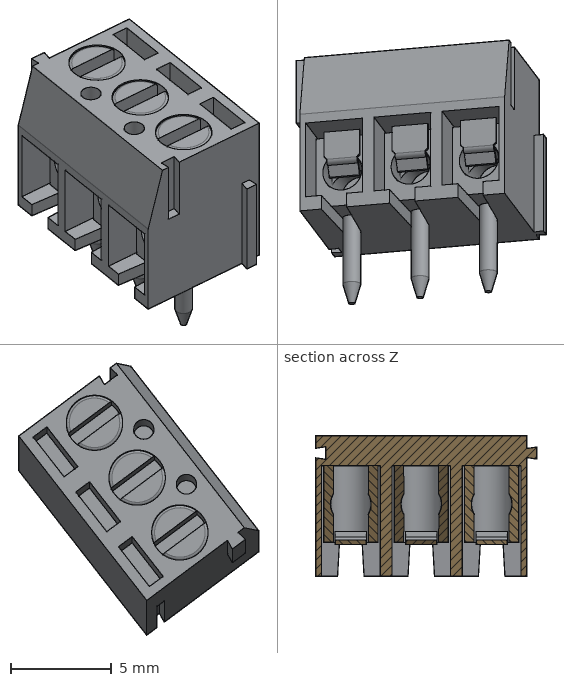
import cadquery as cq
import math


POLE_COUNT = 3
PITCH = 3.5
POLE_Y = 0.1
POLE_XS = [(i - (POLE_COUNT - 1) / 2) * PITCH for i in range(POLE_COUNT)]

WIDTH = POLE_COUNT * PITCH
DEPTH = 7.0
FRONT_Y = -DEPTH / 2
BACK_Y = DEPTH / 2
OVERALL_HEIGHT = 12.2
PIN_REACH = 3.8
HEIGHT = OVERALL_HEIGHT - PIN_REACH
SLOPE_DEPTH = 0.9
SLOPE_HEIGHT = 3.31
SLOPE_FOOT_Z = HEIGHT - SLOPE_HEIGHT

DOVETAIL_REACH = 0.5
DOVETAIL_FLARE = 0.07
UPPER_DOVETAIL_Y = -1.88
UPPER_DOVETAIL_WIDTH = 0.67
LOWER_DOVETAIL_Y = 2.64
LOWER_DOVETAIL_WIDTH = 0.46

CHAMBER_WIDTH = 2.9
CHAMBER_FLOOR_Z = 0.72
CHAMBER_TOP_Z = 4.61
CLAMP_SETBACK = 1.7
CLAMP_FRONT_Y = FRONT_Y + CLAMP_SETBACK

CLAMP_WIDTH = 2.71
CLAMP_TOP_Z = 4.34
CLAMP_DEPTH = 2 * (POLE_Y - CLAMP_FRONT_Y)
CLAMP_BACK_Y = CLAMP_FRONT_Y + CLAMP_DEPTH
WIRE_HOLE_DIAMETER = 2.0
WIRE_HOLE_Z = 2.54
WIRE_HOLE_TOP_Z = WIRE_HOLE_Z + WIRE_HOLE_DIAMETER / 2
PIN_DIAMETER = 0.9
PIN_TIP_DIAMETER = 0.32
PIN_TIP_LENGTH = 1.0

PIN_SLOT_FRONT_WIDTH = 1.3

HEAD_DIAMETER = 2.8
HEAD_HEIGHT = 1.5
HEAD_ROUNDING = 0.15
HEAD_BOTTOM_Z = HEIGHT - HEAD_HEIGHT
SHANK_DIAMETER = 2.0
DRIVE_SLOT_WIDTH = 0.73
DRIVE_SLOT_DEPTH = 1.0

TEST_HOLE_DIAMETER = 1.0
TEST_HOLE_DEPTH = 1.5
TEST_HOLE_Y = -1.65
POCKET_WIDTH = 2.54
POCKET_LENGTH = 0.85
POCKET_DEPTH = 1.5
POCKET_Y = 2.54

GUARD_WIDTH = 1.82
GUARD_THICKNESS = 0.15
GUARD_BOTTOM_Z = 3.17
GUARD_CORNER = 0.15
TONGUE_WIDTH = 1.55
BEND_RADIUS = 0.25
TONGUE_TIP_Z = 2.4
TONGUE_ANGLE = 28


def block(x_size, y_range, z_range, x=0):
    """Box centred on x that fills the given Y and Z ranges."""
    y_size = y_range[1] - y_range[0]
    z_size = z_range[1] - z_range[0]
    box = cq.Workplane().box(x_size, y_size, z_size, centered=(True, False, False))
    return box.translate((x, y_range[0], z_range[0]))


def cylinder(diameter, x, y, bottom_z, top_z):
    """Upright cylinder."""
    return cq.Workplane(origin=(x, y, bottom_z)).circle(diameter / 2).extrude(top_z - bottom_z)


def dovetail(base_x, y, narrow_width, bottom_z, top_z):
    """Upright dovetail bar that starts narrow at base_x and widens toward -X."""
    narrow = narrow_width / 2
    wide = narrow + DOVETAIL_FLARE
    end_x = base_x - DOVETAIL_REACH
    return (
        cq.Workplane()
        .workplane(offset=bottom_z)
        .polyline([(base_x, y - narrow), (end_x, y - wide), (end_x, y + wide), (base_x, y + narrow)])
        .close()
        .extrude(top_z - bottom_z)
    )


def lower_dovetail(base_x):
    """Rib or groove below the slope foot, widening toward +X."""
    return dovetail(-base_x, LOWER_DOVETAIL_Y, LOWER_DOVETAIL_WIDTH, 0, SLOPE_FOOT_Z).mirror("YZ")


def upper_dovetail(base_x):
    """Rib or groove above the slope foot, widening toward -X."""
    return dovetail(base_x, UPPER_DOVETAIL_Y, UPPER_DOVETAIL_WIDTH, SLOPE_FOOT_Z, HEIGHT)


def pin_slot(x):
    """Tapered slot in the chamber floor with a round end that fits the pin."""
    half_front = PIN_SLOT_FRONT_WIDTH / 2
    pin_radius = PIN_DIAMETER / 2
    return (
        cq.Workplane()
        .moveTo(x - half_front, FRONT_Y)
        .lineTo(x - pin_radius, POLE_Y)
        .threePointArc((x, POLE_Y + pin_radius), (x + pin_radius, POLE_Y))
        .lineTo(x + half_front, FRONT_Y)
        .close()
        .extrude(CHAMBER_FLOOR_Z)
    )


def make_housing():
    """Housing with a sloped front, dovetails, wire chambers and openings in the top."""
    side_profile = [
        (FRONT_Y, 0),
        (BACK_Y, 0),
        (BACK_Y, HEIGHT),
        (FRONT_Y + SLOPE_DEPTH, HEIGHT),
        (FRONT_Y, SLOPE_FOOT_Z),
    ]
    housing = cq.Workplane("YZ").polyline(side_profile).close().extrude(WIDTH / 2, both=True)

    housing = housing.union(upper_dovetail(-WIDTH / 2)).cut(upper_dovetail(WIDTH / 2))
    housing = housing.union(lower_dovetail(WIDTH / 2)).cut(lower_dovetail(-WIDTH / 2))

    pocket_y_range = (POCKET_Y - POCKET_LENGTH / 2, POCKET_Y + POCKET_LENGTH / 2)
    for x in POLE_XS:
        housing = housing.cut(
            block(CHAMBER_WIDTH, (FRONT_Y, CLAMP_BACK_Y), (CHAMBER_FLOOR_Z, CHAMBER_TOP_Z), x)
        )
        housing = housing.cut(pin_slot(x))
        housing = housing.cut(cylinder(HEAD_DIAMETER, x, POLE_Y, HEAD_BOTTOM_Z, HEIGHT))
        housing = housing.cut(cylinder(SHANK_DIAMETER, x, POLE_Y, CHAMBER_TOP_Z, HEAD_BOTTOM_Z))
        housing = housing.cut(block(POCKET_WIDTH, pocket_y_range, (HEIGHT - POCKET_DEPTH, HEIGHT), x))

    for x in POLE_XS[:-1]:
        housing = housing.cut(
            cylinder(TEST_HOLE_DIAMETER, x + PITCH / 2, TEST_HOLE_Y, HEIGHT - TEST_HOLE_DEPTH, HEIGHT)
        )
    return housing


def make_clamp(x):
    """Clamp block with a wire hole, a screw hole and a pointed solder pin."""
    clamp = block(CLAMP_WIDTH, (CLAMP_FRONT_Y, CLAMP_BACK_Y), (CHAMBER_FLOOR_Z, CLAMP_TOP_Z), x)
    wire_hole = (
        cq.Workplane("XZ", origin=(x, CLAMP_BACK_Y, WIRE_HOLE_Z))
        .circle(WIRE_HOLE_DIAMETER / 2)
        .extrude(CLAMP_DEPTH)
    )
    screw_hole = cylinder(SHANK_DIAMETER, x, POLE_Y, WIRE_HOLE_Z, CLAMP_TOP_Z)
    pin_profile = [
        (0, CHAMBER_FLOOR_Z),
        (PIN_DIAMETER / 2, CHAMBER_FLOOR_Z),
        (PIN_DIAMETER / 2, PIN_TIP_LENGTH - PIN_REACH),
        (PIN_TIP_DIAMETER / 2, -PIN_REACH),
        (0, -PIN_REACH),
    ]
    pin = (
        cq.Workplane("XZ", origin=(x, POLE_Y, 0))
        .polyline(pin_profile)
        .close()
        .revolve(360, (0, 0), (0, 1))
    )
    return clamp.cut(wire_hole).cut(screw_hole).union(pin)


def make_screw(x):
    """Slotted screw, its head flush with the housing top."""
    head = cylinder(HEAD_DIAMETER, x, POLE_Y, HEAD_BOTTOM_Z, HEIGHT)
    head = head.faces(">Z").edges().fillet(HEAD_ROUNDING)
    shank = cylinder(SHANK_DIAMETER, x, POLE_Y, WIRE_HOLE_TOP_Z, HEAD_BOTTOM_Z)
    slot_y_range = (POLE_Y - HEAD_DIAMETER / 2, POLE_Y + HEAD_DIAMETER / 2)
    drive_slot = block(DRIVE_SLOT_WIDTH, slot_y_range, (HEIGHT - DRIVE_SLOT_DEPTH, HEIGHT), x)
    return head.union(shank).cut(drive_slot)


def make_guard(x):
    """Strip with clipped lower corners and a tongue bent back and down into the wire hole."""
    plate_front_y = CLAMP_FRONT_Y - GUARD_THICKNESS
    half_width = GUARD_WIDTH / 2
    plate = (
        cq.Workplane("XZ", origin=(x, CLAMP_FRONT_Y, 0))
        .polyline(
            [
                (-half_width, CHAMBER_TOP_Z),
                (-half_width, GUARD_BOTTOM_Z + GUARD_CORNER),
                (GUARD_CORNER - half_width, GUARD_BOTTOM_Z),
                (half_width - GUARD_CORNER, GUARD_BOTTOM_Z),
                (half_width, GUARD_BOTTOM_Z + GUARD_CORNER),
                (half_width, CHAMBER_TOP_Z),
            ]
        )
        .close()
        .extrude(GUARD_THICKNESS)
    )
    bend_y = plate_front_y + BEND_RADIUS
    bend_z = GUARD_BOTTOM_Z - BEND_RADIUS
    bend_mid = BEND_RADIUS * math.sqrt(0.5)
    tip_y = bend_y + (bend_z - TONGUE_TIP_Z) * math.tan(math.radians(TONGUE_ANGLE))
    tongue_thickness_y = GUARD_THICKNESS / math.cos(math.radians(TONGUE_ANGLE))
    tongue = (
        cq.Workplane("YZ", origin=(x, 0, 0))
        .moveTo(plate_front_y, GUARD_BOTTOM_Z)
        .threePointArc((bend_y - bend_mid, GUARD_BOTTOM_Z - bend_mid), (bend_y, bend_z))
        .lineTo(tip_y, TONGUE_TIP_Z)
        .lineTo(tip_y + tongue_thickness_y, TONGUE_TIP_Z)
        .lineTo(bend_y + tongue_thickness_y, bend_z)
        .lineTo(CLAMP_FRONT_Y, GUARD_BOTTOM_Z)
        .close()
        .extrude(TONGUE_WIDTH / 2, both=True)
    )
    return plate.union(tongue)


housing = make_housing()
clamps = [make_clamp(x) for x in POLE_XS]
screws = [make_screw(x) for x in POLE_XS]
guards = [make_guard(x) for x in POLE_XS]

bodies = [housing, *clamps, *screws, *guards]
result = cq.Compound.makeCompound([body.solids().val() for body in bodies])